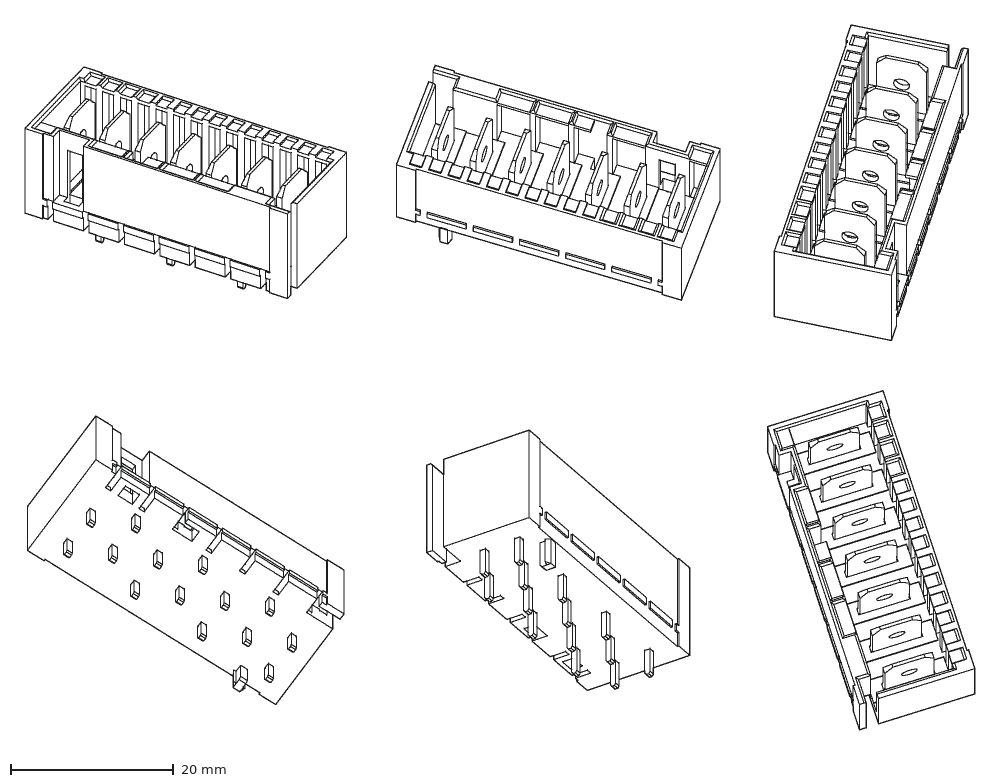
import cadquery as cq


LENGTH = 37.0
DEPTH = 14.9
HEIGHT = 12.8
TAIL_LENGTH = 3.6
X_END = LENGTH / 2
Y_FRONT = -DEPTH / 2
Y_BACK = DEPTH / 2

CONTACT_COUNT = 7
PITCH = 5.0
CONTACT_THICKNESS = 0.78
contact_x = [(i - (CONTACT_COUNT - 1) / 2) * PITCH for i in range(CONTACT_COUNT)]

WALL = 0.9
LEAD_IN = 0.3
CAVITY_DEPTH = 10.0
CAVITY_HALF_DEPTH = CAVITY_DEPTH / 2
CAVITY_HALF_LENGTH = X_END - WALL
FLOOR = 3.0
PAD_HEIGHT = 0.3
PAD_WIDTH = 2.75
LAST_PAD_EXTENSION = 0.2
PAD_TOP = FLOOR + PAD_HEIGHT
SHELF_TOP = HEIGHT - LEAD_IN
SHELF_THICKNESS = 0.5
SHELF_UNDERSIDE = SHELF_TOP - SHELF_THICKNESS

NICHE_COUNT = 14
NICHE_PITCH = PITCH / 2
NICHE_WIDTH = 1.55
FLARED_NICHE_COUNT = 4

RELIEF_DEPTH = 0.22
RELIEF_END_MARGIN = 2.5
BAND_BOTTOM = 2.0
BACK_GAP_COUNT = 6
BACK_GAP_WIDTH = 0.92

SHELF_CELLS = (0, 2, 3, 4, 5)
RECESS_CELL = 1
OPEN_SHELF_CELL = 3
OPEN_END_CELL = 7
RECESS_DEPTH = 1.78
OPENING_WIDTH = 2.1
WINDOW_TOP = 10.1
WINDOW_OFFSET = 1.1

PEG_X = 12.45
PEG_FRONT_Y = 5.48
PEG_STEM_WIDTH = 1.0
PEG_STEM_DEPTH = 1.0
PEG_HEAD_WIDTH = 1.7
PEG_HEAD_DEPTH = 0.65
PEG_TIP_CHAMFER = 0.35

LEG_WIDTH = 0.78
LEG_PITCH = PITCH / 2
LEG_TIP_INSET = 0.2
LEG_TIP_HEIGHT = 0.3
BASE_BOTTOM = 1.0
BASE_HALF_WIDTH = 1.5 * LEG_PITCH + LEG_WIDTH / 2
BLADE_HALF_WIDTH = 3.2
BLADE_FLARE = 0.15
BLADE_FLARE_HEIGHT = 0.63
BLADE_TOP = 12.5
BLADE_BEVEL = 1.1
BLADE_SIDE_BEVEL = 0.2
BLADE_HOLE_DIAMETER = 2.0
BLADE_HOLE_Z = 8.15
STEM_HALF_WIDTH = BLADE_HALF_WIDTH + BLADE_FLARE

leg_shift = [LEG_PITCH / 2 if i % 2 == 0 else -LEG_PITCH / 2 for i in range(CONTACT_COUNT)]
leg_y = [(shift - LEG_PITCH, shift + LEG_PITCH) for shift in leg_shift]


def block(x0, x1, y0, y1, z0, z1):
    """Box between opposite corners."""
    return cq.Workplane("XY").box(x1 - x0, y1 - y0, z1 - z0, centered=False).translate((x0, y0, z0))


def lead_in(x0, x1, y0, y1, left=0, right=0, front=0, back=0):
    """Funnel from shelf level up to the housing top, its sides flaring out by the given amounts."""
    outline = cq.Workplane("XY", origin=(0, 0, SHELF_TOP))
    outline = outline.polyline([(x0, y0), (x1, y0), (x1, y1), (x0, y1)]).close()
    x0, x1, y0, y1 = x0 - left, x1 + right, y0 - front, y1 + back
    mouth = outline.workplane(offset=LEAD_IN)
    return mouth.polyline([(x0, y0), (x1, y0), (x1, y1), (x0, y1)]).close().loft(ruled=True)


def cell_range(cell):
    """X limits of a front wall cell, between the dividers at its two ends."""
    half = CONTACT_THICKNESS / 2
    start = -CAVITY_HALF_LENGTH if cell == 0 else contact_x[cell - 1] + half
    end = X_END if cell == OPEN_END_CELL else contact_x[cell] - half
    return start, end


def cut_cavity(body):
    """Main cavity with raised floor pads and chamfered side and front walls."""
    x, y = CAVITY_HALF_LENGTH, CAVITY_HALF_DEPTH
    body = body.cut(block(-x, x, -y, y, FLOOR, HEIGHT))
    body = body.cut(lead_in(-x, x, -y, y, left=LEAD_IN, right=LEAD_IN, front=LEAD_IN))
    for centre in contact_x:
        end = centre + PAD_WIDTH / 2
        if centre == contact_x[-1]:
            end += LAST_PAD_EXTENSION
        body = body.union(block(centre - PAD_WIDTH / 2, end, -y, y, FLOOR, PAD_TOP))
    return body


def cut_back_niches(body):
    """Row of niches in the back wall, each roofed by a sunken shelf."""
    y0, y1 = CAVITY_HALF_DEPTH, Y_BACK - WALL
    row_half = (NICHE_COUNT - 1) / 2 * NICHE_PITCH
    for i in range(NICHE_COUNT):
        x0 = i * NICHE_PITCH - row_half - NICHE_WIDTH / 2
        x1 = x0 + NICHE_WIDTH
        side = LEAD_IN if i < FLARED_NICHE_COUNT else 0
        body = body.cut(block(x0, x1, y0, y1, FLOOR, SHELF_UNDERSIDE))
        body = body.cut(lead_in(x0, x1, y0, y1, left=side, right=side, back=LEAD_IN))
    row_end = row_half + NICHE_WIDTH / 2
    body = body.cut(lead_in(-CAVITY_HALF_LENGTH, -row_end, 0, y0, left=LEAD_IN, back=LEAD_IN))
    return body.cut(lead_in(row_end, CAVITY_HALF_LENGTH, 0, y0, right=LEAD_IN, back=LEAD_IN))


def cut_front_cells(body):
    """Shelved niches in the front wall, with the two openings that pass right through."""
    y0, y1 = Y_FRONT + WALL, -CAVITY_HALF_DEPTH
    for cell in SHELF_CELLS:
        x0, x1 = cell_range(cell)
        body = body.cut(block(x0, x1, y0, y1, FLOOR, SHELF_UNDERSIDE))
        body = body.cut(lead_in(x0, x1, y0, y1, left=LEAD_IN, right=LEAD_IN, front=LEAD_IN))
    x0, _ = cell_range(OPEN_SHELF_CELL)
    body = body.cut(block(x0, x0 + OPENING_WIDTH, y0, y1, 0, HEIGHT))
    x0, x1 = cell_range(OPEN_END_CELL)
    body = body.cut(block(x0, x1, y0, y1, 0, HEIGHT))
    return body.cut(lead_in(x0, x1, y0, y1, left=LEAD_IN, front=LEAD_IN))


def cut_windowed_recess(body):
    """Recess in the front face, with a window into the cavity and a well down through the foot."""
    x0, x1 = cell_range(RECESS_CELL)
    body = body.cut(block(x0, x1, Y_FRONT, Y_FRONT + RECESS_DEPTH, FLOOR, HEIGHT))
    window = x0 + WINDOW_OFFSET
    return body.cut(
        block(window, window + OPENING_WIDTH, Y_FRONT + WALL, -CAVITY_HALF_DEPTH, 0, WINDOW_TOP)
    )


def cut_outer_faces(body):
    """Reliefs above and below the band on the front and back, and the gaps in the back band."""
    half = X_END - RELIEF_END_MARGIN
    for y in (Y_FRONT, Y_BACK - RELIEF_DEPTH):
        body = body.cut(block(-half, half, y, y + RELIEF_DEPTH, FLOOR, HEIGHT))
        body = body.cut(block(-half, half, y, y + RELIEF_DEPTH, 0, BAND_BOTTOM))
    gap_pitch = (contact_x[-1] - contact_x[0]) / (BACK_GAP_COUNT - 1)
    for i in range(BACK_GAP_COUNT):
        x0 = contact_x[0] + i * gap_pitch - BACK_GAP_WIDTH / 2
        body = body.cut(block(x0, x0 + BACK_GAP_WIDTH, Y_BACK - RELIEF_DEPTH, Y_BACK, 0, FLOOR))
    return body


def cut_contact_slots(body):
    """Slots for the contacts: foot gap, base slot open to the front, pad slot and two leg holes."""
    half = CONTACT_THICKNESS / 2
    leg_half = LEG_WIDTH / 2
    for x, legs in zip(contact_x, leg_y):
        body = body.cut(block(x - half, x + half, Y_FRONT, -CAVITY_HALF_DEPTH, 0, FLOOR))
        body = body.cut(block(x - half, x + half, Y_FRONT, BASE_HALF_WIDTH, BASE_BOTTOM, FLOOR))
        body = body.cut(block(x - half, x + half, -STEM_HALF_WIDTH, STEM_HALF_WIDTH, FLOOR, PAD_TOP))
        for y in legs:
            body = body.cut(block(x - half, x + half, y - leg_half, y + leg_half, 0, BASE_BOTTOM))
    return body


def make_peg():
    """Locating peg, its tip chamfered on the front and on both sides."""
    stem, head = PEG_STEM_WIDTH / 2, PEG_HEAD_WIDTH / 2
    shoulder_y = PEG_FRONT_Y + PEG_STEM_DEPTH
    back_y = shoulder_y + PEG_HEAD_DEPTH
    half_plan = [(stem, PEG_FRONT_Y), (stem, shoulder_y), (head, shoulder_y), (stem, back_y)]
    plan = half_plan + [(-x, y) for x, y in reversed(half_plan)]
    peg = cq.Workplane("XY").polyline(plan).close().extrude(-TAIL_LENGTH)

    chamfer_top = PEG_TIP_CHAMFER - TAIL_LENGTH
    side_profile = [
        (PEG_FRONT_Y, 0),
        (PEG_FRONT_Y, chamfer_top),
        (PEG_FRONT_Y + PEG_TIP_CHAMFER, -TAIL_LENGTH),
        (back_y, -TAIL_LENGTH),
        (back_y, 0),
    ]
    peg = peg.intersect(cq.Workplane("YZ").polyline(side_profile).close().extrude(head, both=True))
    front_profile = [
        (-head, 0),
        (-head, chamfer_top),
        (-head + PEG_TIP_CHAMFER, -TAIL_LENGTH),
        (head - PEG_TIP_CHAMFER, -TAIL_LENGTH),
        (head, chamfer_top),
        (head, 0),
    ]
    peg = peg.intersect(cq.Workplane("XZ").polyline(front_profile).close().extrude(-back_y))
    return peg.translate((PEG_X, 0, 0))


def make_housing():
    body = block(-X_END, X_END, Y_FRONT, Y_BACK, 0, HEIGHT)
    body = cut_cavity(body)
    body = cut_back_niches(body)
    body = cut_front_cells(body)
    body = cut_windowed_recess(body)
    body = cut_outer_faces(body)
    body = cut_contact_slots(body)
    return body.union(make_peg())


def make_leg(y):
    """Solder leg with a tapered tip, centred at the given Y."""
    half = LEG_WIDTH / 2
    tip_half = half - LEG_TIP_INSET
    tip_start = LEG_TIP_HEIGHT - TAIL_LENGTH
    outline = [
        (y - half, BASE_BOTTOM),
        (y - half, tip_start),
        (y - tip_half, -TAIL_LENGTH),
        (y + tip_half, -TAIL_LENGTH),
        (y + half, tip_start),
        (y + half, BASE_BOTTOM),
    ]
    sheet = cq.Workplane("YZ").polyline(outline).close()
    return sheet.extrude(CONTACT_THICKNESS / 2, both=True)


def make_blade():
    """Blade with a flared root, bevelled on all four sides of its top, with a cross hole."""
    half_outline = [
        (STEM_HALF_WIDTH, FLOOR),
        (STEM_HALF_WIDTH, PAD_TOP),
        (BLADE_HALF_WIDTH, PAD_TOP + BLADE_FLARE_HEIGHT),
        (BLADE_HALF_WIDTH, BLADE_TOP - BLADE_BEVEL),
        (BLADE_HALF_WIDTH - BLADE_BEVEL, BLADE_TOP),
    ]
    outline = half_outline + [(-y, z) for y, z in reversed(half_outline)]
    half = CONTACT_THICKNESS / 2
    blade = cq.Workplane("YZ").polyline(outline).close().extrude(half, both=True)
    section = [
        (-half, FLOOR),
        (-half, BLADE_TOP - BLADE_BEVEL),
        (-half + BLADE_SIDE_BEVEL, BLADE_TOP),
        (half - BLADE_SIDE_BEVEL, BLADE_TOP),
        (half, BLADE_TOP - BLADE_BEVEL),
        (half, FLOOR),
    ]
    bevelled = cq.Workplane("XZ").polyline(section).close().extrude(STEM_HALF_WIDTH, both=True)
    hole = cq.Workplane("YZ").center(0, BLADE_HOLE_Z).circle(BLADE_HOLE_DIAMETER / 2)
    return blade.intersect(bevelled).cut(hole.extrude(half, both=True))


def make_contact(x, legs):
    """One contact at the given X: base, blade and a leg at each Y in legs."""
    half = CONTACT_THICKNESS / 2
    contact = block(-half, half, -BASE_HALF_WIDTH, BASE_HALF_WIDTH, BASE_BOTTOM, FLOOR)
    contact = contact.union(make_blade())
    for y in legs:
        contact = contact.union(make_leg(y))
    return contact.translate((x, 0, 0))


housing = make_housing()
contacts = [make_contact(x, legs) for x, legs in zip(contact_x, leg_y)]

result = cq.Compound.makeCompound([housing.val(), *[contact.val() for contact in contacts]])